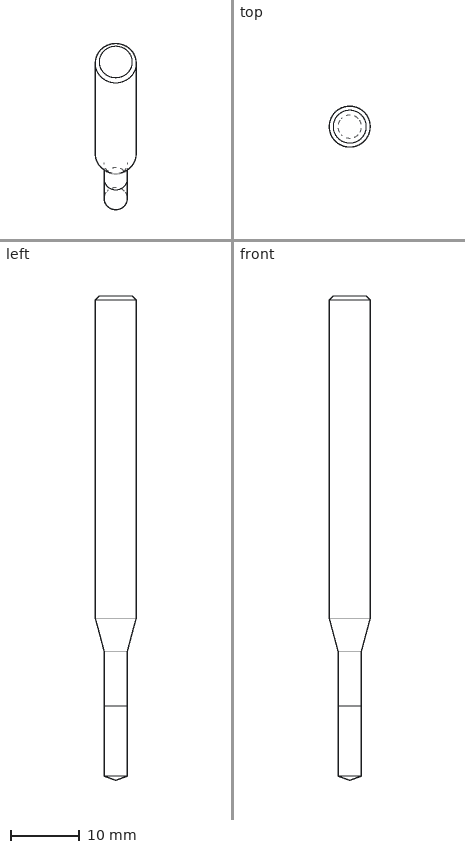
import cadquery as cq
import math

shank_radius = 6.0 / 2
drill_radius = 3.4 / 2
overall_length = 70.0
shank_length = 47.0
cutting_length = 10.2
shoulder_half_angle = math.radians(15)
point_angle = math.radians(140)
end_chamfer = 0.6

point_height = drill_radius / math.tan(point_angle / 2)
shoulder_height = (shank_radius - drill_radius) / math.tan(shoulder_half_angle)
shank_start = overall_length - shank_length
shoulder_start = shank_start - shoulder_height


def turned_body(profile):
    """Revolve a closed outline of (radius, height) points about the Z axis."""
    return cq.Workplane("XZ").polyline(profile).close().revolve(360, (0, 0), (0, 1))


cutting_head = turned_body([
    (0, -point_height),
    (drill_radius, 0),
    (drill_radius, cutting_length),
    (0, cutting_length),
])

shank = turned_body([
    (0, cutting_length),
    (drill_radius, cutting_length),
    (drill_radius, shoulder_start),
    (shank_radius, shank_start),
    (shank_radius, overall_length - end_chamfer),
    (shank_radius - end_chamfer, overall_length),
    (0, overall_length),
])

result = cq.Compound.makeCompound([cutting_head.val(), shank.val()])